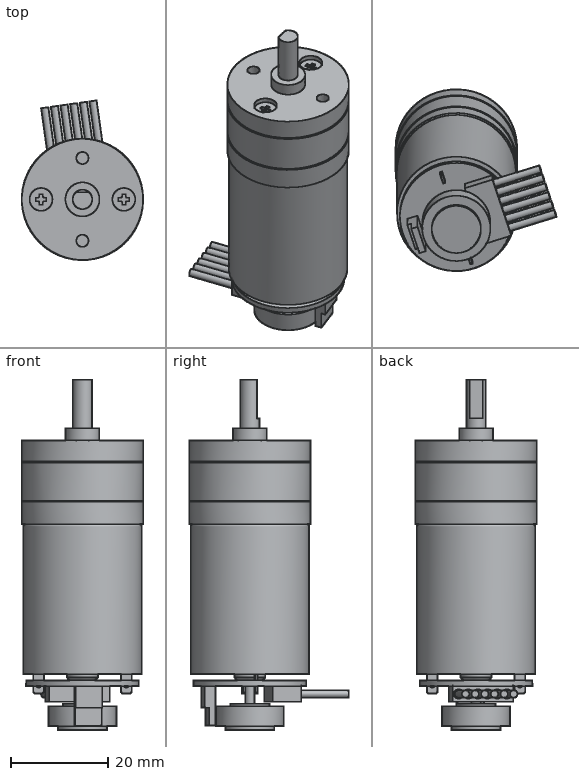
import cadquery as cq

OVERLAP = 0.2

GEARBOX_DIA = 25.0
GEARBOX_LENGTH = 17.2
GROOVE_DEPTHS = (4.45, 12.5)
GROOVE_WIDTH = 0.25
GROOVE_RECESS = 0.1
HOLE_RADIUS_POSITION = 8.5
MOUNT_HOLE_DIA = 2.5
MOUNT_HOLE_DEPTH = 4.0
SCREW_BORE_DIA = 4.7
SCREW_BORE_DEPTH = 1.0
CROSS_LENGTH = 2.2
CROSS_WIDTH = 0.7
CROSS_DEPTH = 0.8
CROSS_CENTRE_DIA = 1.3

COLLAR_DIA = 7.0
COLLAR_HEIGHT = 2.5
SHAFT_DIA = 4.0
SHAFT_LENGTH = 10.0
SHAFT_FLAT_OFFSET = 1.48
ROUND_LENGTH = 2.0

MOTOR_DIA = 24.4
MOTOR_LENGTH = 30.8
MOTOR_FILLET = 0.5
BEARING_DIA = 6.4
BEARING_HEIGHT = 1.3
BEARING_CHAMFER = 0.6
MOTOR_END_Z = -GEARBOX_LENGTH - MOTOR_LENGTH

ENCODER_ANGLE = 8.0
BOARD_DIA = 23.2
BOARD_THICKNESS = 1.2
BOARD_TOP_Z = MOTOR_END_Z - BEARING_HEIGHT
BOARD_BOTTOM_Z = BOARD_TOP_Z - BOARD_THICKNESS

TERMINAL_RADIUS_POSITION = 9.1
TERMINAL_WIDTH = 2.2
TERMINAL_THICKNESS = 0.5
TERMINAL_LENGTH = 4.0
TERMINAL_CHAMFER = 0.3
TERMINAL_HOLE_DIA = 1.0
TERMINAL_HOLE_REACH = 0.25

CONNECTOR_WIDTH = 12.6
CONNECTOR_OFFSET_X = -0.05
CONNECTOR_DEPTH = 5.95
CONNECTOR_HEIGHT = 3.2
CONNECTOR_FRONT_Y = 3.85
CONNECTOR_BACK_Y = CONNECTOR_FRONT_Y + CONNECTOR_DEPTH
SOCKET_DIA = 1.9
SOCKET_DEPTH = 0.5
WIRE_COUNT = 6
WIRE_PITCH = 2.0
WIRE_DIA = 1.55
WIRE_END_Y = 19.75
WIRE_DROP = 1.6

SENSOR_WIDTH = 5.5
SENSOR_BACK_Y = -7.5
SENSOR_BASE_DEPTH = 2.2
SENSOR_BASE_HEIGHT = 4.4
SENSOR_TIP_DEPTH = 1.35
SENSOR_HEIGHT = 8.1

REAR_SHAFT_DIA = 2.0
WHEEL_DIA = 14.0
WHEEL_TOP_Z = -54.6
WHEEL_HEIGHT = 4.1
UPPER_HUB_DIA = 8.1
UPPER_HUB_HEIGHT = 0.5
LOWER_HUB_DIA = 10.1
LOWER_HUB_HEIGHT = 0.8


def disc(diameter, bottom_z, height):
    """Cylinder on the Z axis standing on bottom_z."""
    return cq.Workplane("XY").workplane(offset=bottom_z).circle(diameter / 2).extrude(height)


def block(width, depth, height, front_y, top_z):
    """Box centred on X with its -Y face at front_y and its top at top_z."""
    base_box = cq.Workplane("XY").box(width, depth, height, centered=(True, False, False))
    return base_box.translate((0, front_y, top_z - height))


def make_gearbox():
    body = disc(GEARBOX_DIA, -GEARBOX_LENGTH, GEARBOX_LENGTH)
    for depth in GROOVE_DEPTHS:
        groove = (
            cq.Workplane("XY")
            .workplane(offset=-depth - GROOVE_WIDTH / 2)
            .circle(GEARBOX_DIA / 2 + GROOVE_RECESS)
            .circle(GEARBOX_DIA / 2 - GROOVE_RECESS)
            .extrude(GROOVE_WIDTH)
        )
        body = body.cut(groove)
    for side in (-1, 1):
        hole = disc(MOUNT_HOLE_DIA, -MOUNT_HOLE_DEPTH, MOUNT_HOLE_DEPTH)
        body = body.cut(hole.translate((0, side * HOLE_RADIUS_POSITION, 0)))
        body = body.cut(make_screw_recess().translate((side * HOLE_RADIUS_POSITION, 0, 0)))
    return body


def make_screw_recess():
    """Screw head counterbore with the cross slot below it."""
    depth = SCREW_BORE_DEPTH + CROSS_DEPTH
    bore = disc(SCREW_BORE_DIA, -SCREW_BORE_DEPTH, SCREW_BORE_DEPTH)
    arm_x = block(CROSS_LENGTH, CROSS_WIDTH, depth, -CROSS_WIDTH / 2, 0)
    arm_y = block(CROSS_WIDTH, CROSS_LENGTH, depth, -CROSS_LENGTH / 2, 0)
    centre = disc(CROSS_CENTRE_DIA, -depth, depth)
    return bore.union(arm_x).union(arm_y).union(centre)


def make_output_shaft():
    collar = disc(COLLAR_DIA, -OVERLAP, COLLAR_HEIGHT + OVERLAP)
    shaft = disc(SHAFT_DIA, 0, COLLAR_HEIGHT + SHAFT_LENGTH)
    flat_length = SHAFT_LENGTH - ROUND_LENGTH
    flat = block(SHAFT_DIA, SHAFT_DIA, flat_length, SHAFT_FLAT_OFFSET, COLLAR_HEIGHT + SHAFT_LENGTH)
    return collar.union(shaft.cut(flat))


def make_motor():
    can = disc(MOTOR_DIA, MOTOR_END_Z, MOTOR_LENGTH).faces(">Z").edges().fillet(MOTOR_FILLET)
    bearing = disc(BEARING_DIA, BOARD_TOP_Z, BEARING_HEIGHT).faces("<Z").edges().chamfer(BEARING_CHAMFER)
    return can.union(bearing)


def make_terminal():
    length = TERMINAL_LENGTH + OVERLAP
    top_z = MOTOR_END_Z + OVERLAP
    front_y = -TERMINAL_THICKNESS / 2
    tab = block(TERMINAL_WIDTH, TERMINAL_THICKNESS, length, front_y, top_z)
    tab = tab.faces("<Z").edges("|Y").chamfer(TERMINAL_CHAMFER)
    hole_z = BOARD_BOTTOM_Z - TERMINAL_HOLE_REACH + TERMINAL_HOLE_DIA / 2
    hole_plane = cq.Workplane("XZ", origin=(0, 0, hole_z))
    hole = hole_plane.circle(TERMINAL_HOLE_DIA / 2).extrude(TERMINAL_THICKNESS, both=True)
    return tab.cut(hole)


def make_rod(diameter, x, start_y, end_y):
    """Cylinder along Y at the height of the wires."""
    start_plane = cq.Workplane("XZ", origin=(x, start_y, BOARD_BOTTOM_Z - WIRE_DROP))
    return start_plane.circle(diameter / 2).extrude(start_y - end_y)


def make_connector_with_cable():
    """Connector housing with a row of wires leaving sockets in its back face."""
    height = CONNECTOR_HEIGHT + OVERLAP
    top_z = BOARD_BOTTOM_Z + OVERLAP
    connector = block(CONNECTOR_WIDTH, CONNECTOR_DEPTH, height, CONNECTOR_FRONT_Y, top_z)
    socket_floor_y = CONNECTOR_BACK_Y - SOCKET_DEPTH
    for index in range(WIRE_COUNT):
        wire_x = (index - (WIRE_COUNT - 1) / 2) * WIRE_PITCH
        connector = connector.cut(make_rod(SOCKET_DIA, wire_x, socket_floor_y, CONNECTOR_BACK_Y))
        connector = connector.union(make_rod(WIRE_DIA, wire_x, socket_floor_y - OVERLAP, WIRE_END_Y))
    return connector.translate((CONNECTOR_OFFSET_X, 0, 0))


def make_sensor_step(depth, height):
    """Block hanging from the board, sharing the sensor's back face."""
    top_z = BOARD_BOTTOM_Z + OVERLAP
    return block(SENSOR_WIDTH, depth, height + OVERLAP, SENSOR_BACK_Y - depth, top_z)


def make_sensor():
    base = make_sensor_step(SENSOR_BASE_DEPTH, SENSOR_BASE_HEIGHT)
    return base.union(make_sensor_step(SENSOR_TIP_DEPTH, SENSOR_HEIGHT))


def make_encoder():
    """Board with the connector, cable, sensor and motor terminals, turned about Z."""
    encoder = disc(BOARD_DIA, BOARD_BOTTOM_Z, BOARD_THICKNESS)
    encoder = encoder.union(make_connector_with_cable()).union(make_sensor())
    for side in (-1, 1):
        encoder = encoder.union(make_terminal().translate((side * TERMINAL_RADIUS_POSITION, 0, 0)))
    return encoder.rotate((0, 0, 0), (0, 0, 1), ENCODER_ANGLE)


def make_magnet_wheel():
    wheel_bottom_z = WHEEL_TOP_Z - WHEEL_HEIGHT
    hub_bottom_z = wheel_bottom_z - LOWER_HUB_HEIGHT
    wheel = disc(WHEEL_DIA, wheel_bottom_z, WHEEL_HEIGHT)
    wheel = wheel.union(disc(UPPER_HUB_DIA, WHEEL_TOP_Z, UPPER_HUB_HEIGHT))
    wheel = wheel.union(disc(LOWER_HUB_DIA, hub_bottom_z, LOWER_HUB_HEIGHT))
    return wheel.union(disc(REAR_SHAFT_DIA, wheel_bottom_z, MOTOR_END_Z - wheel_bottom_z))


result = (
    make_gearbox()
    .union(make_output_shaft())
    .union(make_motor())
    .union(make_encoder())
    .union(make_magnet_wheel())
)